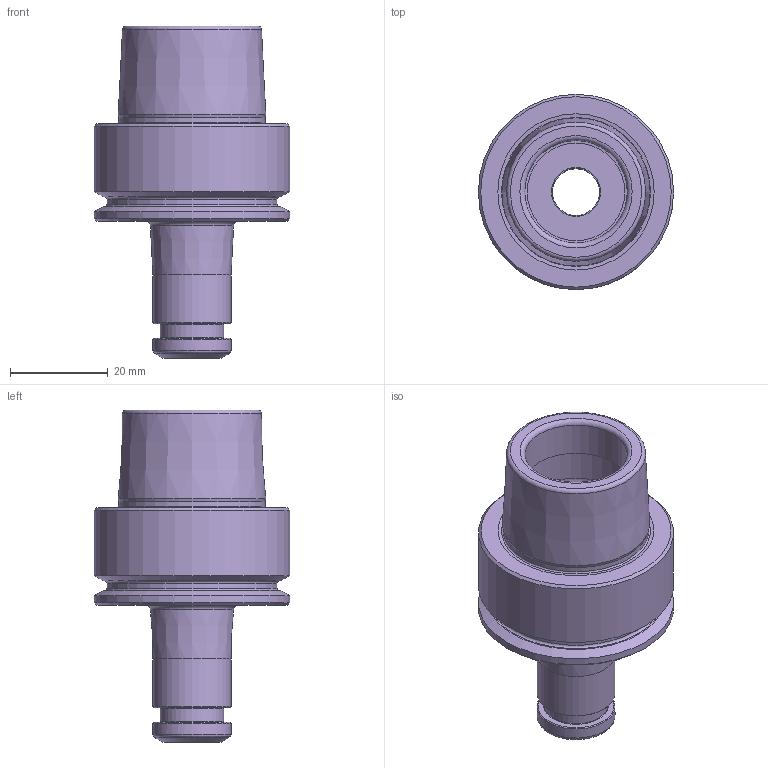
import cadquery as cq
import math


TAPER_TOP_Z = 20.0
TAPER_GAUGE_RADIUS = 15.0
TAPER_GAUGE_Z = 4.0
TAPER_SLOPE = 1 / 20
TAPER_BOTTOM_Z = 1.85
TAPER_TOP_FILLET = 0.8

NECK_RADIUS = 29.91 / 2
NECK_TOP_Z = 1.25
RELIEF_ARC_RADIUS = 0.3
RELIEF_DEPTH = 0.1
RELIEF_OUTER_RADIUS = 16.0

FLANGE_RADIUS = 20.0
FLANGE_BOTTOM_Z = -20.0
FLANGE_CHAMFER = 0.5
GROOVE_FLOOR_RADIUS = 34.8 / 2
GROOVE_CENTRE_Z = -15.97
GROOVE_SLOT_WIDTH = 2.0
GROOVE_MOUTH_WIDTH = 4.1
GROOVE_FLOOR_FILLET = 0.5
GROOVE_FLANK_ANGLE = math.radians(30)

STEM_RADIUS = 8.0
STEM_FILLET = 1.0
STEM_CONE_END_Z = -31.0
STEM_CONE_ANGLE = math.radians(3)
STEM_ROOT_RADIUS = STEM_RADIUS + (FLANGE_BOTTOM_Z - STEM_CONE_END_Z) * math.tan(STEM_CONE_ANGLE)
STEM_BOTTOM_Z = -48.0
RING_GROOVE_RADIUS = 13.0 / 2
RING_GROOVE_TOP_Z = -41.0
RING_GROOVE_BOTTOM_Z = -43.95
RING_GROOVE_CHAMFER = 0.2
RING_GROOVE_FLOOR_FILLET = 0.1
STEM_END_RADIUS = 6.05
STEM_END_ANGLE = math.radians(30)
STEM_END_FILLET = 0.8

BORE_RADIUS = 21.0 / 2
BORE_MOUTH_FILLET = 1.0
BORE_EDGE_Z = 11.95
CHAMBER_RADIUS = 25.5 / 2
CHAMBER_FLOOR_Z = 1.35
CHAMBER_FLOOR_FILLET = 2.75

HOLE_RADIUS = 10.0 / 2
LOWER_HOLE_RADIUS = 9.6 / 2
HOLE_STEP_Z = FLANGE_BOTTOM_Z


def revolve(profile):
    return profile.close().revolve(360, (0, 0, 0), (0, 1, 0))


def ring_edge(body, radius, z):
    """Circular edge of the given radius at height z."""
    tolerance = 0.01
    return body.edges(
        cq.selectors.BoxSelector(
            (-radius - tolerance, -radius - tolerance, z - tolerance),
            (radius + tolerance, radius + tolerance, z + tolerance),
            boundingbox=True,
        )
    ).edges(cq.selectors.RadiusNthSelector(-1))


def taper_radius(z):
    return TAPER_GAUGE_RADIUS - (z - TAPER_GAUGE_Z) * TAPER_SLOPE


def make_taper():
    """Taper and neck, reaching down into the flange."""
    profile = (
        cq.Workplane("XZ")
        .moveTo(0, GROOVE_CENTRE_Z)
        .lineTo(NECK_RADIUS, GROOVE_CENTRE_Z)
        .lineTo(NECK_RADIUS, NECK_TOP_Z)
        .lineTo(taper_radius(TAPER_BOTTOM_Z), TAPER_BOTTOM_Z)
        .lineTo(taper_radius(TAPER_TOP_Z), TAPER_TOP_Z)
        .lineTo(0, TAPER_TOP_Z)
    )
    return revolve(profile).faces(">Z").edges().fillet(TAPER_TOP_FILLET)


def make_flange():
    """Flange disc with its relief groove and flared slot."""
    slot_top_z = GROOVE_CENTRE_Z + GROOVE_SLOT_WIDTH / 2
    slot_bottom_z = GROOVE_CENTRE_Z - GROOVE_SLOT_WIDTH / 2
    flank_height = (GROOVE_MOUTH_WIDTH - GROOVE_SLOT_WIDTH) / 2
    flank_inner_radius = FLANGE_RADIUS - flank_height / math.tan(GROOVE_FLANK_ANGLE)
    mouth_top_z = GROOVE_CENTRE_Z + GROOVE_MOUTH_WIDTH / 2
    mouth_bottom_z = GROOVE_CENTRE_Z - GROOVE_MOUTH_WIDTH / 2
    arc_centre_r = NECK_RADIUS + RELIEF_ARC_RADIUS
    arc_centre_z = RELIEF_ARC_RADIUS - RELIEF_DEPTH
    arc_reach = RELIEF_ARC_RADIUS * math.cos(math.radians(45))
    profile = (
        cq.Workplane("XZ")
        .moveTo(0, arc_centre_z)
        .lineTo(NECK_RADIUS, arc_centre_z)
        .threePointArc(
            (arc_centre_r - arc_reach, arc_centre_z - arc_reach),
            (arc_centre_r, -RELIEF_DEPTH),
        )
        .lineTo(RELIEF_OUTER_RADIUS, 0)
        .lineTo(FLANGE_RADIUS - FLANGE_CHAMFER, 0)
        .lineTo(FLANGE_RADIUS, -FLANGE_CHAMFER)
        .lineTo(FLANGE_RADIUS, mouth_top_z)
        .lineTo(flank_inner_radius, slot_top_z)
        .lineTo(GROOVE_FLOOR_RADIUS, slot_top_z)
        .lineTo(GROOVE_FLOOR_RADIUS, slot_bottom_z)
        .lineTo(flank_inner_radius, slot_bottom_z)
        .lineTo(FLANGE_RADIUS, mouth_bottom_z)
        .lineTo(FLANGE_RADIUS, FLANGE_BOTTOM_Z + FLANGE_CHAMFER)
        .lineTo(FLANGE_RADIUS - FLANGE_CHAMFER, FLANGE_BOTTOM_Z)
        .lineTo(0, FLANGE_BOTTOM_Z)
    )
    flange = revolve(profile)
    for floor_edge_z in (slot_top_z, slot_bottom_z):
        flange = ring_edge(flange, GROOVE_FLOOR_RADIUS, floor_edge_z).fillet(GROOVE_FLOOR_FILLET)
    return flange


def make_stem():
    """Conical root, straight shank and rounded end cone."""
    end_cone_top_z = STEM_BOTTOM_Z + (STEM_RADIUS - STEM_END_RADIUS) * math.tan(STEM_END_ANGLE)
    profile = (
        cq.Workplane("XZ")
        .moveTo(0, FLANGE_BOTTOM_Z)
        .lineTo(STEM_ROOT_RADIUS, FLANGE_BOTTOM_Z)
        .lineTo(STEM_RADIUS, STEM_CONE_END_Z)
        .lineTo(STEM_RADIUS, end_cone_top_z)
        .lineTo(STEM_END_RADIUS, STEM_BOTTOM_Z)
        .lineTo(0, STEM_BOTTOM_Z)
    )
    stem = revolve(profile)
    return ring_edge(stem, STEM_RADIUS, end_cone_top_z).fillet(STEM_END_FILLET)


def make_ring_groove():
    """Groove cutter with chamfered mouth edges and rounded floor corners."""
    profile = (
        cq.Workplane("XZ")
        .moveTo(RING_GROOVE_RADIUS, RING_GROOVE_TOP_Z)
        .lineTo(STEM_RADIUS - RING_GROOVE_CHAMFER, RING_GROOVE_TOP_Z)
        .lineTo(STEM_RADIUS, RING_GROOVE_TOP_Z + RING_GROOVE_CHAMFER)
        .lineTo(STEM_RADIUS, RING_GROOVE_BOTTOM_Z - RING_GROOVE_CHAMFER)
        .lineTo(STEM_RADIUS - RING_GROOVE_CHAMFER, RING_GROOVE_BOTTOM_Z)
        .lineTo(RING_GROOVE_RADIUS, RING_GROOVE_BOTTOM_Z)
    )
    groove = revolve(profile)
    for floor_edge_z in (RING_GROOVE_TOP_Z, RING_GROOVE_BOTTOM_Z):
        groove = ring_edge(groove, RING_GROOVE_RADIUS, floor_edge_z).fillet(RING_GROOVE_FLOOR_FILLET)
    return groove


def make_bore():
    """Clamping bore with its wider chamber and rounded floor."""
    profile = (
        cq.Workplane("XZ")
        .moveTo(0, CHAMBER_FLOOR_Z)
        .lineTo(CHAMBER_RADIUS, CHAMBER_FLOOR_Z)
        .lineTo(CHAMBER_RADIUS, BORE_EDGE_Z)
        .lineTo(BORE_RADIUS, BORE_EDGE_Z)
        .lineTo(BORE_RADIUS, TAPER_TOP_Z)
        .lineTo(0, TAPER_TOP_Z)
    )
    return revolve(profile).faces("<Z").edges().fillet(CHAMBER_FLOOR_FILLET)


def make_centre_hole():
    """Hole through the stem, stepping down to a slightly narrower lower part."""
    profile = (
        cq.Workplane("XZ")
        .moveTo(0, CHAMBER_FLOOR_Z)
        .lineTo(HOLE_RADIUS, CHAMBER_FLOOR_Z)
        .lineTo(HOLE_RADIUS, HOLE_STEP_Z)
        .lineTo(LOWER_HOLE_RADIUS, HOLE_STEP_Z)
        .lineTo(LOWER_HOLE_RADIUS, STEM_BOTTOM_Z)
        .lineTo(0, STEM_BOTTOM_Z)
    )
    return revolve(profile)


def make_holder():
    body = make_flange().union(make_taper()).union(make_stem())
    body = ring_edge(body, STEM_ROOT_RADIUS, FLANGE_BOTTOM_Z).fillet(STEM_FILLET)
    body = body.cut(make_ring_groove()).cut(make_bore())
    body = ring_edge(body, BORE_RADIUS, TAPER_TOP_Z).fillet(BORE_MOUTH_FILLET)
    return body.cut(make_centre_hole())


result = make_holder()